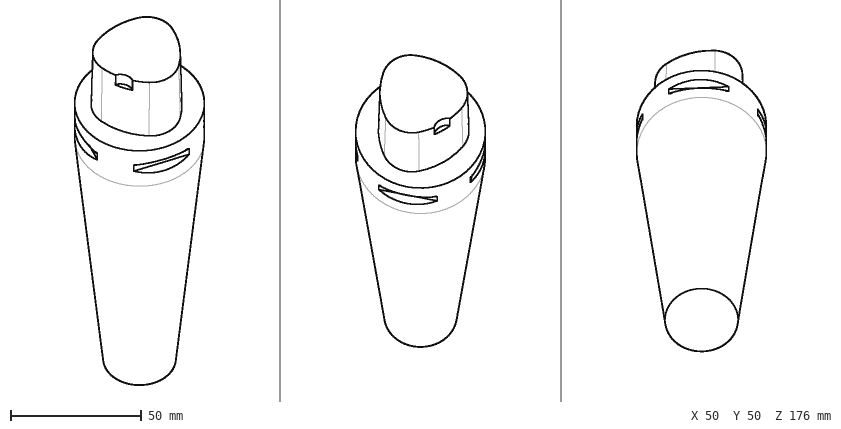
import cadquery as cq
import math

total_length = 176.0
shank_length = 30.0
flange_height = 20.0
flange_diameter = 50.0
nose_diameter = 28.2
cone_length = total_length - shank_length - flange_height
flange_top = cone_length + flange_height
flange_radius = flange_diameter / 2

lobe_count = 3
lobe_tip_radius = 18.7
side_radius = 16.2
lobe_arc_radius = 11.6
shank_taper = 1.1

groove_count = 4
groove_floor_width = 3.3
groove_mouth_width = 6.5
groove_depth = 2.8
groove_height = cone_length + flange_height / 2

notch_width = 7.0
notch_length = 5.5
notch_radius = 5.3
notch_floor = 13.9


def polar(radius, angle):
    return (radius * math.cos(math.radians(angle)), radius * math.sin(math.radians(angle)))


def make_body():
    """Conical holder with a cylindrical flange."""
    return (
        cq.Workplane("XZ")
        .lineTo(nose_diameter / 2, 0)
        .lineTo(flange_radius, cone_length)
        .lineTo(flange_radius, flange_top)
        .lineTo(0, flange_top)
        .close()
        .revolve(360, (0, 0), (0, 1))
    )


def make_shank():
    """Tapered prism of lobe arcs joined tangentially to broad side arcs."""
    pitch = 360 / lobe_count
    lobe_center = lobe_tip_radius - lobe_arc_radius
    gap = side_radius - lobe_arc_radius
    spread = 2 * lobe_center * math.cos(math.radians(pitch / 2))
    side_center = (lobe_center**2 - gap**2) / (2 * gap - spread)
    rise = lobe_center * math.sin(math.radians(pitch / 2))
    run = spread / 2 + side_center
    side_arc_radius = side_radius + side_center
    half_sweep = math.atan2(rise, run)
    joint_x = side_arc_radius * math.cos(half_sweep) - side_center
    joint_y = side_arc_radius * math.sin(half_sweep)
    joint_radius = math.hypot(joint_x, joint_y)
    half_lobe = pitch / 2 - math.degrees(math.atan2(joint_y, joint_x))

    first_lobe = 90
    outline = cq.Workplane("XY", origin=(0, 0, flange_top))
    outline = outline.moveTo(*polar(joint_radius, first_lobe - half_lobe))
    for index in range(lobe_count):
        lobe = first_lobe + index * pitch
        outline = outline.threePointArc(polar(lobe_tip_radius, lobe), polar(joint_radius, lobe + half_lobe))
        outline = outline.threePointArc(
            polar(side_radius, lobe + pitch / 2), polar(joint_radius, lobe + pitch - half_lobe)
        )
    return outline.close().extrude(shank_length, taper=shank_taper)


def make_groove():
    """Straight trapezoidal groove across the -Y side of the flange."""
    floor = flange_radius - groove_depth
    slope = (groove_mouth_width - groove_floor_width) / 2 / groove_depth
    reach = flange_radius + groove_depth
    half_floor = groove_floor_width / 2
    half_outer = half_floor + slope * (reach - floor)
    return (
        cq.Workplane("YZ", origin=(0, 0, groove_height))
        .polyline([(-floor, -half_floor), (-floor, half_floor), (-reach, half_outer), (-reach, -half_outer)])
        .close()
        .extrude(flange_radius, both=True)
    )


def make_notch():
    """Concave scallop in the -Y side, open at the free end."""
    half_width = notch_width / 2
    edge = notch_floor + notch_radius - math.sqrt(notch_radius**2 - half_width**2)
    return (
        cq.Workplane("XY", origin=(0, 0, total_length - notch_length))
        .moveTo(-half_width, -edge)
        .threePointArc((0, -notch_floor), (half_width, -edge))
        .lineTo(half_width, -lobe_tip_radius)
        .lineTo(-half_width, -lobe_tip_radius)
        .close()
        .extrude(notch_length)
    )


result = make_body().union(make_shank())

groove = make_groove()
groove_pitch = 360 / groove_count
for index in range(groove_count):
    angle = (index + 0.5) * groove_pitch
    result = result.cut(groove.rotate((0, 0, 0), (0, 0, 1), angle))

result = result.cut(make_notch())